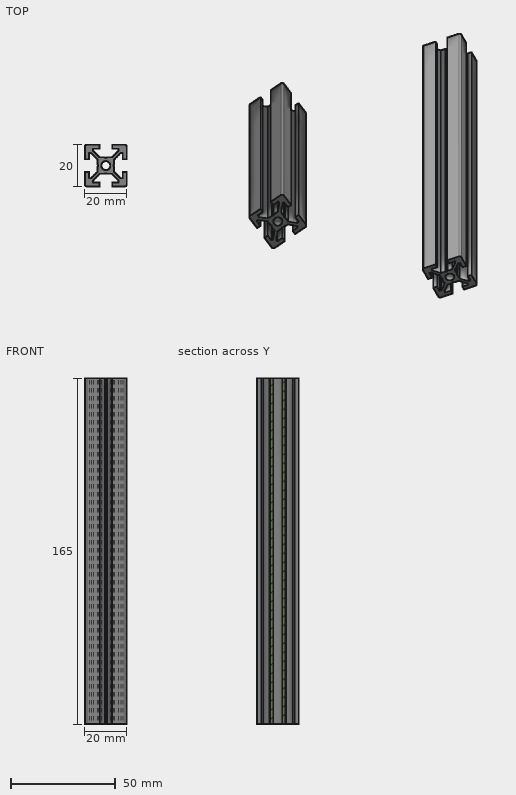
import cadquery as cq
import math

SIDE = 20.0
LENGTH = 165.0
CORNER_RADIUS = 1.0

SLOT_OPENING = 6.0
LIP_THICKNESS = 2.0
SLOT_INNER_WIDTH = 12.0
WEB_THICKNESS = 1.5

CORE_SIDE = 8.0
BORE_DIAMETER = 4.2
GROOVE_WIDTH = 1.2
GROOVE_DEPTH = 0.35

SLOT_COUNT = 4


def make_bar():
    """Square bar standing along Z, centred on the origin, with rounded long edges."""
    return cq.Workplane("XY").box(SIDE, SIDE, LENGTH).edges("|Z").fillet(CORNER_RADIUS)


def make_slot():
    """Solid that cuts the T-slot of the +Y side, including the V-groove in its floor."""
    face = SIDE / 2
    lip_underside = face - LIP_THICKNESS
    floor = CORE_SIDE / 2
    half_opening = SLOT_OPENING / 2
    half_inner = SLOT_INNER_WIDTH / 2

    flank_offset = WEB_THICKNESS / math.sqrt(2)
    half_floor = floor - flank_offset
    flank_top = half_inner + flank_offset

    half_outline = [
        (half_opening, face),
        (half_opening, lip_underside),
        (half_inner, lip_underside),
        (half_inner, flank_top),
        (half_floor, floor),
        (GROOVE_WIDTH / 2, floor),
    ]
    groove_bottom = (0, floor - GROOVE_DEPTH)
    mirrored_half = [(-x, y) for x, y in reversed(half_outline)]
    outline = half_outline + [groove_bottom] + mirrored_half
    return cq.Workplane("XY").polyline(outline).close().extrude(LENGTH / 2, both=True)


def make_bore():
    """Round bore through the whole length of the core."""
    return cq.Workplane("XY").circle(BORE_DIAMETER / 2).extrude(LENGTH / 2, both=True)


result = make_bar().cut(make_bore())
slot = make_slot()
for index in range(SLOT_COUNT):
    angle = index * 360 / SLOT_COUNT
    result = result.cut(slot.rotate((0, 0, 0), (0, 0, 1), angle))